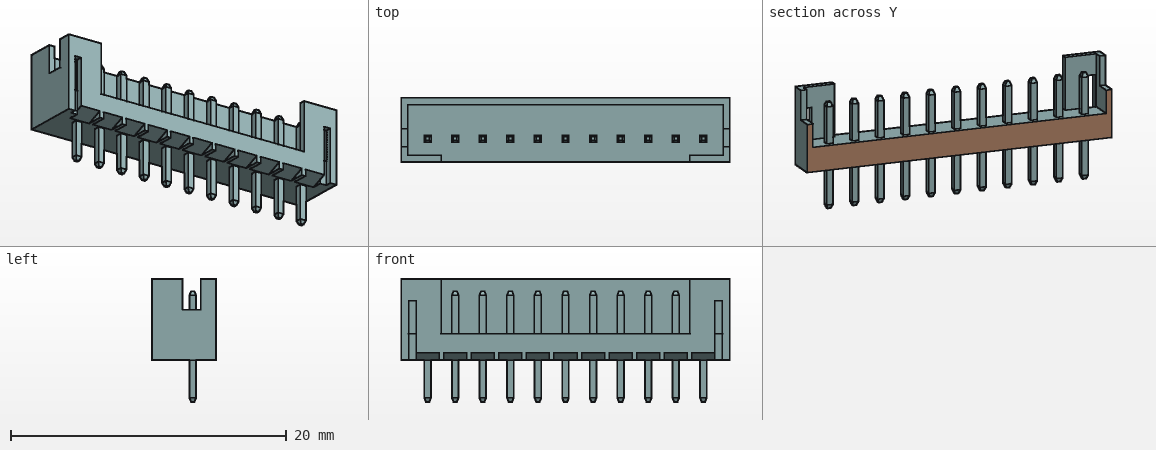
import cadquery as cq

pin_count = 11
pitch = 2.0
pin_size = 0.5
pin_tip_size = 0.25
pin_tip_height = 0.31
pin_top = 5.0
pin_drop = 3.04

end_margin = 1.93
length = (pin_count - 1) * pitch + 2 * end_margin
depth = 4.67
height = 5.9
back_y = 2.97
front_y = back_y - depth

floor_z = 1.9
end_wall = 0.47
long_wall = 0.5

front_post_width = 2.9
end_slot_width = 1.31
end_slot_offset = 2.24
end_slot_drop = 2.24

groove_width = 0.55
groove_inset = 0.55
groove_top = 4.32
groove_depth = 0.5

notch_width = 1.67
notch_depth = 1.34
notch_height = 0.52

pin_positions = [(i - (pin_count - 1) / 2) * pitch for i in range(pin_count)]


def block(x_min, x_max, y_min, y_max, z_min, z_max):
    """Axis-aligned box given by its limits."""
    box = cq.Workplane("XY").box(x_max - x_min, y_max - y_min, z_max - z_min, centered=False)
    return box.translate((x_min, y_min, z_min))


def make_shell():
    """Open-topped housing with a low front wall and a slot in each end wall."""
    half = length / 2
    inner = half - end_wall
    window = half - front_post_width
    slot_back = back_y - end_slot_offset
    shell = block(-half, half, front_y, back_y, 0, height)
    shell = shell.cut(block(-inner, inner, front_y + long_wall, back_y - long_wall, floor_z, height))
    shell = shell.cut(block(-window, window, front_y, front_y + long_wall, floor_z, height))
    return shell.cut(block(-half, half, slot_back - end_slot_width, slot_back, height - end_slot_drop, height))


def make_grooves():
    """Cutter for the two vertical grooves."""
    outer = length / 2 - groove_inset
    groove = block(outer - groove_width, outer, front_y, front_y + groove_depth, 0, groove_top)
    return groove.union(groove.mirror("YZ"))


def make_notch(x):
    """Cutter that bevels the front lower edge in front of one pin."""
    profile = cq.Workplane("YZ").polyline([
        (front_y, 0),
        (front_y + notch_depth, 0),
        (front_y, notch_height),
    ]).close()
    return profile.extrude(notch_width / 2, both=True).translate((x, 0, 0))


def make_tip(z_base, direction):
    """Tapered pin end starting at z_base; direction is +1 for up and -1 for down."""
    return (
        cq.Workplane("XY", origin=(0, 0, z_base))
        .rect(pin_size, pin_size)
        .workplane(offset=direction * pin_tip_height)
        .rect(pin_tip_size, pin_tip_size)
        .loft(ruled=True)
    )


def make_pin(x):
    """Square pin, tapered at both ends."""
    half = pin_size / 2
    shaft_bottom = pin_tip_height - pin_drop
    shaft_top = pin_top - pin_tip_height
    pin = block(-half, half, -half, half, shaft_bottom, shaft_top)
    pin = pin.union(make_tip(shaft_top, 1)).union(make_tip(shaft_bottom, -1))
    return pin.translate((x, 0, 0))


result = make_shell().cut(make_grooves())
for pin_x in pin_positions:
    result = result.cut(make_notch(pin_x))
for pin_x in pin_positions:
    result = result.union(make_pin(pin_x))